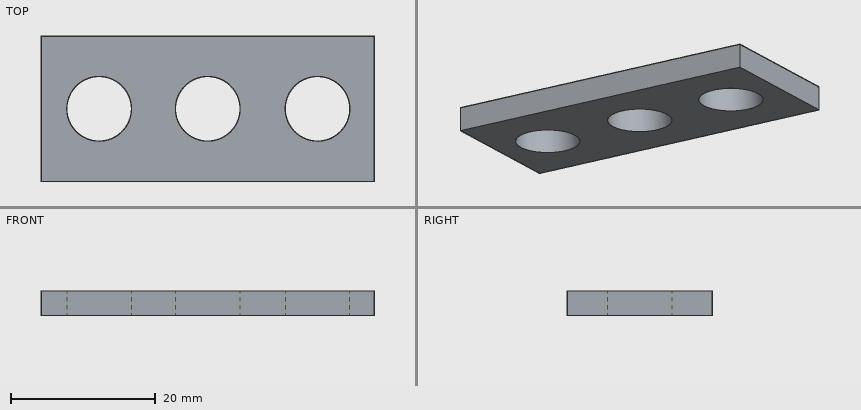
import cadquery as cq

plate_length = 45.97
plate_width = 20.07
plate_thickness = 3.4

hole_diameter = 8.89
left_hole_pitch = 14.985
right_hole_pitch = 15.145
hole_centers = [(-left_hole_pitch, 0), (0, 0), (right_hole_pitch, 0)]


def make_plate():
    return cq.Workplane("XY").box(plate_length, plate_width, plate_thickness)


def drill_holes(plate):
    return plate.faces(">Z").workplane().pushPoints(hole_centers).hole(hole_diameter)


result = drill_holes(make_plate())